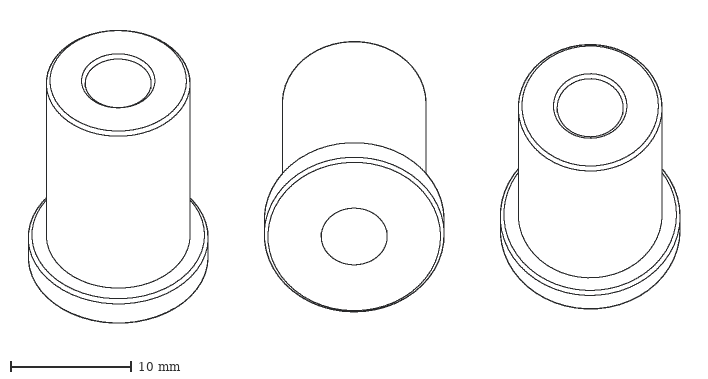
import cadquery as cq

total_height = 22.0
flange_diameter = 15.0
flange_height = 3.0
body_diameter = 12.0
bore_diameter = 5.5
edge_chamfer = 0.3

flange = cq.Workplane("XY").circle(flange_diameter / 2).extrude(flange_height)
flange = flange.edges().chamfer(edge_chamfer)

body = cq.Workplane("XY").circle(body_diameter / 2).extrude(total_height)
bushing = flange.union(body)
bushing = bushing.faces(">Z").workplane().hole(bore_diameter)

result = bushing.faces(">Z").edges().chamfer(edge_chamfer)